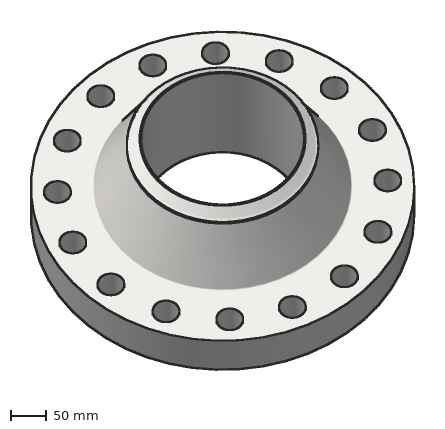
import cadquery as cq

flange_diameter = 546.0
flange_thickness = 70.0
raised_face_diameter = 324.0
raised_face_height = 6.5
overall_height = 190.5

bore_diameter = 232.0
hub_base_diameter = 368.0
hub_fillet_radius = 3.0
pipe_diameter = 273.0
pipe_band_height = 6.0
shoulder_chamfer_width = 4.0
shoulder_chamfer_height = 2.0
bevel_height = 12.0
root_face_width = 2.0

bolt_count = 16
bolt_circle_diameter = 470.5
bolt_hole_diameter = 38.0

selection_margin = 0.5

flange_top = raised_face_height + flange_thickness
bevel_start = overall_height - bevel_height
taper_top = bevel_start - pipe_band_height

bore_radius = bore_diameter / 2
end_radius = bore_radius + root_face_width
bevel_outer_radius = pipe_diameter / 2 - shoulder_chamfer_width


def flange_body():
    """Disc, raised face, hub and bevelled welding end, turned about Z; the hub root is filleted."""
    profile = (
        cq.Workplane("XZ")
        .moveTo(bore_radius, 0)
        .lineTo(raised_face_diameter / 2, 0)
        .lineTo(raised_face_diameter / 2, raised_face_height)
        .lineTo(flange_diameter / 2, raised_face_height)
        .lineTo(flange_diameter / 2, flange_top)
        .lineTo(hub_base_diameter / 2, flange_top)
        .lineTo(pipe_diameter / 2, taper_top)
        .lineTo(pipe_diameter / 2, bevel_start - shoulder_chamfer_height)
        .lineTo(bevel_outer_radius, bevel_start)
        .lineTo(end_radius, overall_height)
        .lineTo(bore_radius, overall_height)
        .close()
    )
    body = profile.revolve(360, (0, 0, 0), (0, 1, 0))
    reach = hub_base_diameter / 2 + selection_margin
    hub_root = cq.selectors.BoxSelector(
        (-reach, -reach, flange_top - selection_margin),
        (reach, reach, flange_top + selection_margin),
        boundingbox=True,
    )
    return body.edges(hub_root).fillet(hub_fillet_radius)


def bolt_holes():
    """Through holes spaced evenly on the bolt circle."""
    return (
        cq.Workplane("XY")
        .polarArray(bolt_circle_diameter / 2, 0, 360, bolt_count)
        .circle(bolt_hole_diameter / 2)
        .extrude(overall_height)
    )


result = flange_body().cut(bolt_holes())